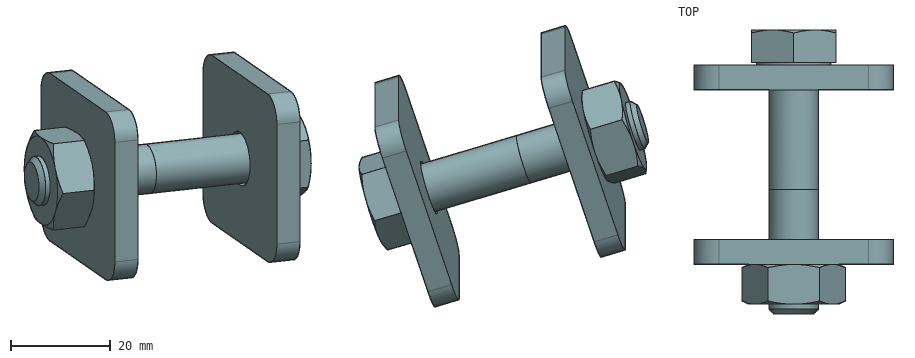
import cadquery as cq
import math

plate_width = 40.0
plate_height = 35.0
plate_thickness = 5.0
plate_corner_radius = 5.0
plate_gap = 30.0
plate_hole_diameter = 11.0

shank_diameter = 10.0
shank_length = 25.0
tip_chamfer = 1.0
tip_overhang = 2.0
head_across_flats = 17.0
head_total_height = 7.0
washer_face_diameter = 15.0
washer_face_height = 0.45

nut_across_flats = 18.0
nut_height = 8.0

corner_cone_angle = math.radians(25)

front_plate_start = -plate_gap / 2 - plate_thickness
back_plate_start = plate_gap / 2
head_seat = back_plate_start + plate_thickness
shank_end = head_seat - shank_length
nut_start = front_plate_start - nut_height
tip_start = nut_start - tip_overhang


def section_plane(y):
    """Sketch plane across the bolt at y, with its normal along +Y and local x along +X."""
    return cq.Workplane(cq.Plane(origin=(0, y, 0), xDir=(1, 0, 0), normal=(0, 1, 0)))


def cylinder(y, diameter, length):
    return section_plane(y).circle(diameter / 2).extrude(length)


def hexagon(y, across_flats, height, corner_angle):
    """Hexagonal prism with its first corner at corner_angle degrees from +X."""
    across_corners = across_flats / math.cos(math.pi / 6)
    prism = section_plane(y).polygon(6, across_corners).extrude(height)
    return prism.rotate((0, 0, 0), (0, 1, 0), corner_angle)


def corner_trim(y, height, across_flats, face_diameter, trim_both_ends):
    """Round body that meets the trimmed end faces in a circle of face_diameter."""
    corner_radius = across_flats / math.sqrt(3)
    face_radius = face_diameter / 2
    drop = (corner_radius - face_radius) * math.tan(corner_cone_angle)
    top = y + height
    if trim_both_ends:
        bottom_outline = [(face_radius, y), (corner_radius, y + drop)]
    else:
        bottom_outline = [(corner_radius, y)]
    outline = [(0, y), *bottom_outline, (corner_radius, top - drop), (face_radius, top), (0, top)]
    return cq.Workplane("XY").polyline(outline).close().revolve(360, (0, 0, 0), (0, 1, 0))


def make_plate(y):
    plate = section_plane(y).rect(plate_width, plate_height).extrude(plate_thickness)
    plate = plate.edges("|Y").fillet(plate_corner_radius)
    return plate.cut(cylinder(y, plate_hole_diameter, plate_thickness))


def make_bolt():
    """Head, washer face and plain shank, ending where the threaded end begins."""
    head_start = head_seat + washer_face_height
    head_height = head_total_height - washer_face_height
    head = hexagon(head_start, head_across_flats, head_height, 30)
    head = head.intersect(
        corner_trim(head_start, head_height, head_across_flats, head_across_flats, trim_both_ends=False)
    )
    washer_face = cylinder(head_seat, washer_face_diameter, washer_face_height)
    shank = cylinder(shank_end, shank_diameter, shank_length)
    return head.union(washer_face).union(shank)


def make_threaded_end():
    """Threaded end, simplified to a plain cylinder with a chamfered tip."""
    rod = cylinder(tip_start, shank_diameter, shank_end - tip_start)
    return rod.faces("<Y").chamfer(tip_chamfer)


def make_nut():
    nut = hexagon(nut_start, nut_across_flats, nut_height, 0)
    nut = nut.intersect(
        corner_trim(nut_start, nut_height, nut_across_flats, nut_across_flats, trim_both_ends=True)
    )
    return nut.cut(cylinder(nut_start, shank_diameter, nut_height))


plates = [make_plate(y) for y in (front_plate_start, back_plate_start)]
bolt = make_bolt()
threaded_end = make_threaded_end()
nut = make_nut()

result = cq.Compound.makeCompound(
    [*[plate.val() for plate in plates], bolt.val(), threaded_end.val(), nut.val()]
)